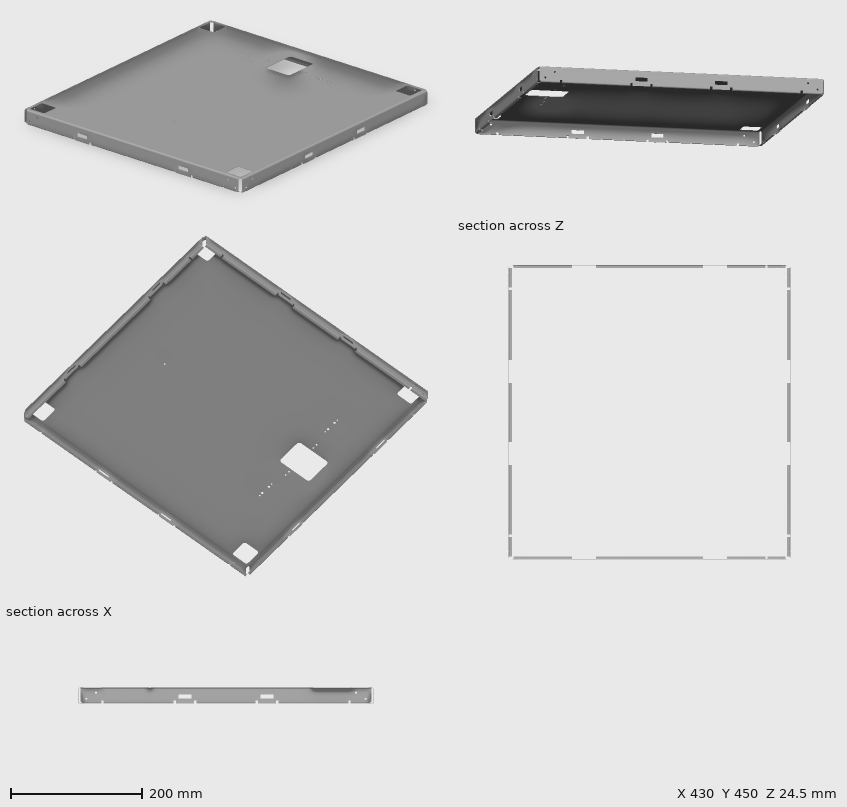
import cadquery as cq
import math

LENGTH_X = 430.0
LENGTH_Y = 450.0
HEIGHT = 24.5
TOP = HEIGHT / 2
BOTTOM = -HEIGHT / 2

SHEET = 0.8
TOP_BEND_INNER = 2.02
TOP_BEND_OUTER = TOP_BEND_INNER + SHEET
LIP_BEND_INNER = 1.0
LIP_BEND_OUTER = LIP_BEND_INNER + SHEET
LIP_WIDTH = 5.0
LIP_SETBACK = 2.0
WALL_CUT_DEPTH = 4 * LIP_WIDTH

PLATE_X = LENGTH_X - 2 * TOP_BEND_OUTER
PLATE_Y = LENGTH_Y - 2 * TOP_BEND_OUTER
X_WALL_SPAN = PLATE_Y
Y_WALL_CORNER_GAP = 6.0
Y_WALL_SPAN = LENGTH_X - 2 * Y_WALL_CORNER_GAP

SLOT_LENGTH = 19.5
SLOT_HEIGHT = 6.0
SLOT_Z = -2.0
NOTCH_WIDTH = 3.5
NOTCH_HEIGHT = 4.0
X_WALL_TAB_OFFSET = 62.5
X_WALL_TAB_PITCH = 31.5
X_WALL_END_NOTCHES = (-188.5, 188.5)
Y_WALL_TAB_OFFSET = 100.0
Y_WALL_TAB_PITCH = 33.5
Y_WALL_END_NOTCHES = (178.5,)

PIN_HOLE_DIAMETER = 3.0
PIN_HOLES = ((26.5, 4.0), (11.5, -5.5))

CORNER_WINDOW = 29.5
CORNER_WINDOW_INSET = 6.5
CORNER_WINDOW_RADIUS = 4.0
MAIN_WINDOW_X = 47.0
MAIN_WINDOW_Y = 60.0
MAIN_WINDOW_CENTER_Y = 162.5
MAIN_WINDOW_RADIUS = 5.0

PATTERN_X = -7.5
HOLE_GROUP_Y = 151.5
HOLE_GROUP_OFFSET = 77.5
LARGE_HOLE_OFFSET = 7.5
LARGE_HOLE_DIAMETER = 4.0
SMALL_HOLE_OFFSET = 14.0
SMALL_HOLE_DIAMETER = 2.5
INNER_HOLES_Y = 157.0
INNER_HOLE_OFFSETS = (29.0, 36.5)
MEDIUM_HOLE_DIAMETER = 3.0
LONE_HOLE_Y = -116.0


def box(center, size):
    return cq.Workplane("XY").box(*size).translate(center)


def arc_point(x, z, radius, degrees):
    angle = math.radians(degrees)
    return (x + radius * math.cos(angle), z + radius * math.sin(angle))


def bent_wall(reach, span):
    """Top bend and upright on the +X side; reach is the X of the outer face."""
    x = reach - TOP_BEND_OUTER
    z = TOP - TOP_BEND_OUTER
    upright_end = BOTTOM + LIP_BEND_OUTER
    return (
        cq.Workplane("XZ")
        .moveTo(x, TOP)
        .threePointArc(arc_point(x, z, TOP_BEND_OUTER, 45), (reach, z))
        .lineTo(reach, upright_end)
        .lineTo(reach - SHEET, upright_end)
        .lineTo(reach - SHEET, z)
        .threePointArc(arc_point(x, z, TOP_BEND_INNER, 45), (x, TOP - SHEET))
        .close()
        .extrude(span / 2, both=True)
    )


def lip(reach, span):
    """Bottom bend below the upright and the narrow lip turned inward."""
    x = reach - LIP_BEND_OUTER
    z = BOTTOM + LIP_BEND_OUTER
    lip_edge = reach - LIP_WIDTH
    return (
        cq.Workplane("XZ")
        .moveTo(reach, z)
        .threePointArc(arc_point(x, z, LIP_BEND_OUTER, -45), (x, BOTTOM))
        .lineTo(lip_edge, BOTTOM)
        .lineTo(lip_edge, BOTTOM + SHEET)
        .lineTo(x, BOTTOM + SHEET)
        .threePointArc(arc_point(x, z, LIP_BEND_INNER, -45), (reach - SHEET, z))
        .close()
        .extrude(span / 2 - LIP_SETBACK, both=True)
    )


def wall(reach, span, tray_length, tab_offset, tab_pitch, end_notches):
    """Complete wall on the +X side, running along Y."""
    tab_centers = (-tab_offset, tab_offset)
    bottom_edge = lip(reach, span)
    for y in tab_centers:
        lip_gap = box((reach, y, BOTTOM), (WALL_CUT_DEPTH, tab_pitch, 2 * LIP_BEND_OUTER))
        flat_tab = box(
            (reach - SHEET / 2, y, BOTTOM + LIP_BEND_OUTER / 2),
            (SHEET, tab_pitch, LIP_BEND_OUTER),
        )
        bottom_edge = bottom_edge.cut(lip_gap).union(flat_tab)
    panel = bent_wall(reach, span).union(bottom_edge)

    notches = list(end_notches)
    for y in tab_centers:
        panel = panel.cut(box((reach, y, SLOT_Z), (WALL_CUT_DEPTH, SLOT_LENGTH, SLOT_HEIGHT)))
        notches += [y - tab_pitch / 2, y + tab_pitch / 2]
    for y in notches:
        panel = panel.cut(box((reach, y, BOTTOM), (WALL_CUT_DEPTH, NOTCH_WIDTH, 2 * NOTCH_HEIGHT)))

    pin_points = [(side * (tray_length / 2 - inset), z) for side in (-1, 1) for inset, z in PIN_HOLES]
    pins = cq.Workplane("YZ").pushPoints(pin_points).circle(PIN_HOLE_DIAMETER / 2).extrude(reach)
    return panel.cut(pins)


def plate_holes(points, diameter):
    return cq.Workplane("XY").pushPoints(points).circle(diameter / 2).extrude(HEIGHT)


def plate():
    sheet = box((0, 0, TOP - SHEET / 2), (PLATE_X, PLATE_Y, SHEET))

    window_inset = CORNER_WINDOW_INSET + CORNER_WINDOW / 2
    corner_windows = (
        cq.Workplane("XY")
        .rect(LENGTH_X - 2 * window_inset, LENGTH_Y - 2 * window_inset, forConstruction=True)
        .vertices()
        .rect(CORNER_WINDOW, CORNER_WINDOW)
        .extrude(HEIGHT)
        .edges("|Z")
        .fillet(CORNER_WINDOW_RADIUS)
    )
    main_window = (
        box((PATTERN_X, MAIN_WINDOW_CENTER_Y, TOP), (MAIN_WINDOW_X, MAIN_WINDOW_Y, HEIGHT))
        .edges("|Z")
        .fillet(MAIN_WINDOW_RADIUS)
    )
    sheet = sheet.cut(corner_windows).cut(main_window)

    large_holes = []
    small_holes = []
    medium_holes = [(PATTERN_X, LONE_HOLE_Y)]
    for side in (-1, 1):
        group_x = PATTERN_X + side * HOLE_GROUP_OFFSET
        for direction in (-1, 1):
            large_holes.append((group_x + direction * LARGE_HOLE_OFFSET, HOLE_GROUP_Y))
            small_holes.append((group_x + direction * SMALL_HOLE_OFFSET, HOLE_GROUP_Y))
        for offset in INNER_HOLE_OFFSETS:
            medium_holes.append((PATTERN_X + side * offset, INNER_HOLES_Y))
    sheet = sheet.cut(plate_holes(large_holes, LARGE_HOLE_DIAMETER))
    sheet = sheet.cut(plate_holes(small_holes, SMALL_HOLE_DIAMETER))
    return sheet.cut(plate_holes(medium_holes, MEDIUM_HOLE_DIAMETER))


x_wall = wall(
    LENGTH_X / 2, X_WALL_SPAN, LENGTH_Y, X_WALL_TAB_OFFSET, X_WALL_TAB_PITCH, X_WALL_END_NOTCHES
)
y_wall = wall(
    LENGTH_Y / 2, Y_WALL_SPAN, LENGTH_X, Y_WALL_TAB_OFFSET, Y_WALL_TAB_PITCH, Y_WALL_END_NOTCHES
).rotate((0, 0, 0), (0, 0, 1), -90)

result = plate()
result = result.union(x_wall).union(x_wall.mirror("YZ"))
result = result.union(y_wall).union(y_wall.mirror("XZ"))